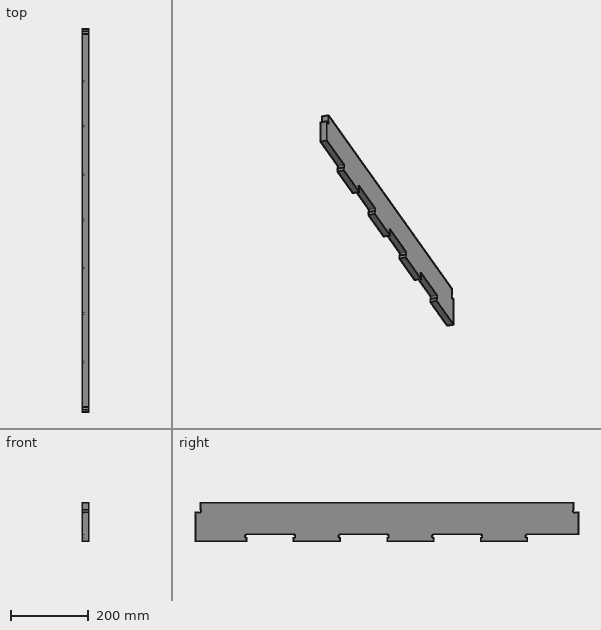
import cadquery as cq
import math

length = 988.0
height = 100.0
thickness = 18.0

rebate_width = 13.0
rebate_depth = 25.0

finger_pitch = 121.0
slot_depth = 18.0
closed_slot_count = 3
end_finger_width = (length - 2 * closed_slot_count * finger_pitch) / 2

relief_radius = 4.4
corner_offset = relief_radius / math.sqrt(2)

end_y = length / 2
bottom_z = -height / 2
top_z = height / 2
slot_roof_z = bottom_z + slot_depth
rebate_floor_z = top_z - rebate_depth


def block(y_min, y_max, z_min, z_max):
    """Block through the full thickness of the board."""
    return cq.Workplane("XY").box(thickness, y_max - y_min, z_max - z_min).translate(
        (0, (y_min + y_max) / 2, (z_min + z_max) / 2)
    )


def relief(y, z):
    """Relief cylinder through the full thickness, with its axis at (y, z)."""
    return (
        cq.Workplane("YZ")
        .center(y, z)
        .circle(relief_radius)
        .extrude(thickness / 2, both=True)
    )


def root_relief(wall_y):
    """Relief centred on a slot side wall and touching the slot roof."""
    return relief(wall_y, slot_roof_z - relief_radius)


result = block(-end_y, end_y, bottom_z, top_z)

for side in (-1, 1):
    shoulder_y = side * (end_y - rebate_width)
    y_min, y_max = sorted((shoulder_y, side * end_y))
    result = result.cut(block(y_min, y_max, rebate_floor_z, top_z))
    result = result.cut(relief(shoulder_y + side * corner_offset, rebate_floor_z + corner_offset))

for index in range(closed_slot_count):
    y_min = -end_y + end_finger_width + 2 * index * finger_pitch
    y_max = y_min + finger_pitch
    result = result.cut(block(y_min, y_max, bottom_z, slot_roof_z))
    result = result.cut(root_relief(y_min))
    result = result.cut(root_relief(y_max))

open_slot_y = end_y - end_finger_width
result = result.cut(block(open_slot_y, end_y, bottom_z, slot_roof_z))
result = result.cut(root_relief(open_slot_y))